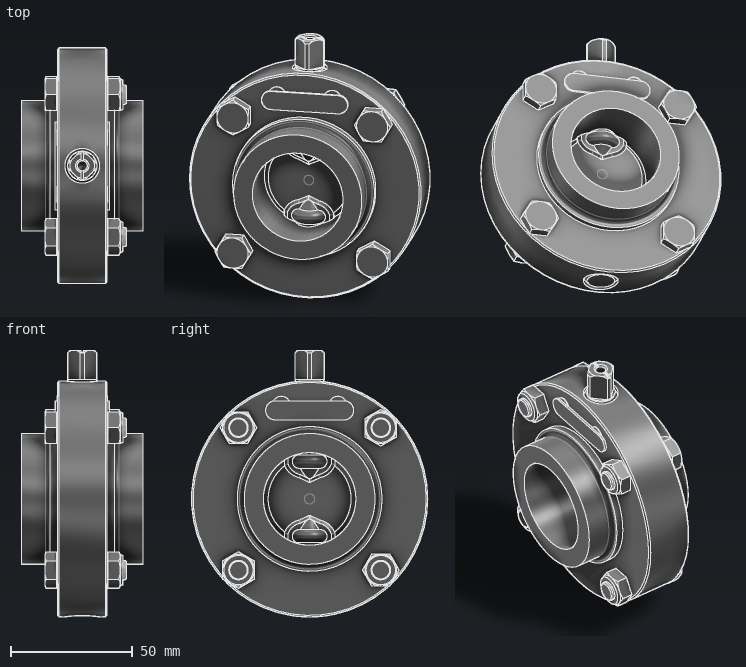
import cadquery as cq
import math

FLANGE_DIAMETER = 97.0
FLANGE_WIDTH = 20.3
FLANGE_CHAMFER = 0.7

OVERALL_LENGTH = 50.0
HUB_DIAMETER = 59.5
HUB_WIDTH = 26.3
PIPE_DIAMETER = 53.8
HUB_FILLET = 2.0
BORE_DIAMETER = 38.0

DISC_FACE_DIAMETER = 34.0
DISC_CENTER_DIAMETER = 4.2
DISC_CENTER_HALF = 2.2
DISC_FACE_HALF = 2.0
DISC_RIM_HALF = 0.3

JOURNAL_DIAMETER = 15.3
JOURNAL_INNER_Z = 12.5
JOURNAL_OUTER_Z = 18.3
JOURNAL_CORE_DIAMETER = 12.0
WALL_OVERLAP = 1.1
SKIRT_TIP_Z = 6.5
SKIRT_SHOULDER = (4.4, 8.5)
SKIRT_ARC_MIDDLE = (8.2, 10.6)
SKIRT_SIDE = (10.4, 14.1)
SKIRT_HEIGHT = 0.9
SKIRT_TAPER = 60

OVERALL_HEIGHT = 109.5
STEM_TOP_Z = OVERALL_HEIGHT - FLANGE_DIAMETER / 2
STEM_DIAMETER = 12.0
STEM_SQUARE = 9.6
STEM_CHAMFER = 1.0
STEM_FOOT_Z = 49.0
STEM_HOLE_DIAMETER = 4.2
STEM_HOLE_MOUTH = 5.5
STEM_HOLE_DEPTH = 6.6
DRILL_POINT_ANGLE = 118
STEM_SLOT_WIDTH = 1.0
STEM_SLOT_DEPTH = 0.7

SHAFT_DIAMETER = 14.2
SHAFT_END_DIAMETER = 11.4
SHAFT_END_Z = 48.1
SHAFT_EDGE_Z = 46.4
SHAFT_BASE_Z = 28.5

BOLT_OFFSET = 29.2
HEX_FLATS = 13.0
HEX_CHAMFER_ANGLE = 30
SEAT_DIAMETER = 11.4
SEAT_HEIGHT = 0.4
HEAD_HEIGHT = 4.8
NUT_HEIGHT = 5.0
COLLAR_DIAMETER = 12.0
COLLAR_HEIGHT = 1.1
BOLT_DIAMETER = 8.0
BOLT_END_DIAMETER = 7.2
BOLT_END_X = 18.2
BOLT_END_CHAMFER = 0.7

PLATE_LENGTH = 36.1
PLATE_HEIGHT = 7.9
PLATE_THICKNESS = 1.0
PLATE_Z = 36.4
RIVET_DIAMETER = 7.2
RIVET_HEIGHT = 0.2
RIVET_Y = 11.6
RIVET_Z = 38.5

HALF_WIDTH = FLANGE_WIDTH / 2


def x_cylinder(diameter, start, end):
    """Cylinder along X between two positions."""
    return cq.Workplane("YZ", origin=(start, 0, 0)).circle(diameter / 2).extrude(end - start)


def z_cylinder(diameter, start, end):
    """Cylinder along Z between two heights."""
    return cq.Workplane("XY", origin=(0, 0, start)).circle(diameter / 2).extrude(end - start)


def x_cone(start_diameter, end_diameter, start, end):
    """Truncated cone along X between two positions."""
    start_radius, end_radius = start_diameter / 2, end_diameter / 2
    outline = [(start, 0), (start, start_radius), (end, end_radius), (end, 0)]
    return cq.Workplane("XY").polyline(outline).close().revolve(360, (0, 0, 0), (1, 0, 0))


def both_sides(shape):
    """The shape together with its mirror image across the middle of the flange."""
    return shape.union(shape.mirror("YZ"))


def body():
    flange = x_cylinder(FLANGE_DIAMETER, -HALF_WIDTH, HALF_WIDTH).edges().chamfer(FLANGE_CHAMFER)
    hub_x = HUB_WIDTH / 2
    hub_radius, pipe_radius = HUB_DIAMETER / 2, PIPE_DIAMETER / 2
    end_x = OVERALL_LENGTH / 2
    arc_drop = HUB_FILLET * (1 - math.sqrt(0.5))
    half_hub = (
        cq.Workplane("XY")
        .moveTo(0, 0)
        .lineTo(0, hub_radius)
        .lineTo(hub_x, hub_radius)
        .lineTo(hub_x, pipe_radius + HUB_FILLET)
        .threePointArc((hub_x + arc_drop, pipe_radius + arc_drop), (hub_x + HUB_FILLET, pipe_radius))
        .lineTo(end_x, pipe_radius)
        .lineTo(end_x, 0)
        .close()
        .revolve(360, (0, 0, 0), (1, 0, 0))
    )
    bore = x_cylinder(BORE_DIAMETER, -end_x, end_x)
    return flange.union(both_sides(half_hub)).cut(bore)


def disc():
    """Slightly conical disc whose edge slopes down to the wall of the bore."""
    face_radius, bore_radius = DISC_FACE_DIAMETER / 2, BORE_DIAMETER / 2
    half = (
        cq.Workplane("XY")
        .moveTo(0, 0)
        .lineTo(DISC_CENTER_HALF, 0)
        .lineTo(DISC_CENTER_HALF, DISC_CENTER_DIAMETER / 2)
        .lineTo(DISC_FACE_HALF, face_radius)
        .lineTo(DISC_RIM_HALF, bore_radius)
        .lineTo(0, bore_radius)
        .close()
        .revolve(360, (0, 0, 0), (1, 0, 0))
    )
    return both_sides(half)


def skirt_outline(x, top_z):
    """Outline of a skirt at one position along X: a pointed arch with its tip toward the bore axis."""
    shoulder_y, shoulder_z = SKIRT_SHOULDER
    middle_y, middle_z = SKIRT_ARC_MIDDLE
    side_y, side_z = SKIRT_SIDE
    return (
        cq.Workplane("YZ", origin=(x, 0, 0))
        .moveTo(0, SKIRT_TIP_Z)
        .lineTo(shoulder_y, shoulder_z)
        .threePointArc((middle_y, middle_z), (side_y, side_z))
        .lineTo(side_y, top_z)
        .lineTo(-side_y, top_z)
        .lineTo(-side_y, side_z)
        .threePointArc((-middle_y, middle_z), (-shoulder_y, shoulder_z))
        .close()
    )


def upper_journal():
    """Barrel-shaped journal with a pointed root, and skirts that blend it into both disc faces."""
    wall_z = BORE_DIAMETER / 2 + WALL_OVERLAP
    radius = JOURNAL_DIAMETER / 2
    middle_z = (JOURNAL_INNER_Z + JOURNAL_OUTER_Z) / 2
    rim_radius = radius - (middle_z - JOURNAL_INNER_Z)
    barrel = (
        cq.Workplane("XZ")
        .moveTo(0, SKIRT_TIP_Z)
        .lineTo(DISC_FACE_HALF, SKIRT_TIP_Z)
        .lineTo(rim_radius, JOURNAL_INNER_Z)
        .threePointArc((radius, middle_z), (rim_radius, JOURNAL_OUTER_Z))
        .lineTo(0, JOURNAL_OUTER_Z)
        .close()
        .revolve(360, (0, 0, 0), (0, 1, 0))
    )
    core = z_cylinder(JOURNAL_CORE_DIAMETER, middle_z, wall_z)
    skirt = skirt_outline(0, wall_z).extrude(DISC_FACE_HALF)
    skirt = skirt.union(skirt_outline(DISC_FACE_HALF, wall_z).extrude(SKIRT_HEIGHT, taper=SKIRT_TAPER))
    skirt = skirt.intersect(x_cylinder(BORE_DIAMETER + WALL_OVERLAP, 0, JOURNAL_DIAMETER))
    return core.union(barrel).union(both_sides(skirt))


def stem():
    square_length = STEM_TOP_Z - STEM_FOOT_Z
    square = (
        cq.Workplane("XY", origin=(0, 0, STEM_FOOT_Z))
        .transformed(rotate=(0, 0, 45))
        .rect(STEM_SQUARE, STEM_SQUARE)
        .extrude(square_length)
    )
    envelope = z_cylinder(STEM_DIAMETER, STEM_FOOT_Z, STEM_TOP_Z).faces(">Z").chamfer(STEM_CHAMFER)
    neck_outline = [
        (0, SHAFT_END_Z),
        (SHAFT_END_DIAMETER / 2, SHAFT_END_Z),
        (STEM_DIAMETER / 2, STEM_FOOT_Z),
        (0, STEM_FOOT_Z),
    ]
    neck = cq.Workplane("XZ").polyline(neck_outline).close().revolve(360, (0, 0, 0), (0, 1, 0))
    hole_radius, mouth_radius = STEM_HOLE_DIAMETER / 2, STEM_HOLE_MOUTH / 2
    hole_bottom = STEM_TOP_Z - STEM_HOLE_DEPTH
    point_depth = hole_radius / math.tan(math.radians(DRILL_POINT_ANGLE / 2))
    hole = (
        cq.Workplane("XZ")
        .moveTo(0, STEM_TOP_Z)
        .lineTo(mouth_radius, STEM_TOP_Z)
        .lineTo(hole_radius, STEM_TOP_Z - (mouth_radius - hole_radius))
        .lineTo(hole_radius, hole_bottom)
        .lineTo(0, hole_bottom - point_depth)
        .close()
        .revolve(360, (0, 0, 0), (0, 1, 0))
    )
    slot = cq.Workplane("XY").box(STEM_SLOT_WIDTH, STEM_DIAMETER, 2 * STEM_SLOT_DEPTH)
    return square.intersect(envelope).union(neck).cut(hole).cut(slot.translate((0, 0, STEM_TOP_Z)))


def shaft_end():
    """Chamfered end of the shaft, standing in its bore just below the rim of the flange."""
    edge_radius, end_radius = SHAFT_DIAMETER / 2, SHAFT_END_DIAMETER / 2
    outline = [
        (0, SHAFT_BASE_Z),
        (edge_radius, SHAFT_BASE_Z),
        (edge_radius, SHAFT_EDGE_Z),
        (end_radius, SHAFT_END_Z),
        (0, SHAFT_END_Z),
    ]
    return cq.Workplane("XZ").polyline(outline).close().revolve(360, (0, 0, 0), (0, 1, 0))


def hexagon(start, end, turn):
    """Hexagonal prism along X whose corners are chamfered at its end position."""
    across_corners = HEX_FLATS / math.cos(math.radians(30))
    prism = (
        cq.Workplane("YZ", origin=(start, 0, 0))
        .transformed(rotate=(0, 0, turn))
        .polygon(6, across_corners)
        .extrude(end - start)
    )
    direction = math.copysign(1, end - start)
    drop = (across_corners - HEX_FLATS) / 2 * math.tan(math.radians(HEX_CHAMFER_ANGLE))
    shoulder = end - direction * drop
    envelope = x_cylinder(across_corners, start, shoulder).union(
        x_cone(across_corners, HEX_FLATS, shoulder, end)
    )
    return prism.intersect(envelope)


def fastener(turn):
    """Bolt along X with its head on the -X side and its nut on the +X side."""
    seat_x = HALF_WIDTH + SEAT_HEIGHT
    nut_x = seat_x + NUT_HEIGHT
    collar_x = nut_x + COLLAR_HEIGHT
    tip_x = BOLT_END_X - BOLT_END_CHAMFER
    return (
        x_cylinder(SEAT_DIAMETER, -seat_x, seat_x)
        .union(hexagon(-seat_x, -seat_x - HEAD_HEIGHT, turn))
        .union(hexagon(seat_x, nut_x, turn))
        .union(x_cone(HEX_FLATS, COLLAR_DIAMETER, nut_x, collar_x))
        .union(x_cylinder(BOLT_DIAMETER, 0, tip_x))
        .union(x_cone(BOLT_DIAMETER, BOLT_END_DIAMETER, tip_x, BOLT_END_X))
    )


def name_plate():
    face = cq.Workplane("YZ", origin=(HALF_WIDTH, 0, 0))
    plate = face.center(0, PLATE_Z).slot2D(PLATE_LENGTH, PLATE_HEIGHT).extrude(PLATE_THICKNESS)
    rivets = (
        face.pushPoints([(-RIVET_Y, RIVET_Z), (RIVET_Y, RIVET_Z)])
        .circle(RIVET_DIAMETER / 2)
        .extrude(RIVET_HEIGHT)
    )
    return plate.union(rivets)


result = body().union(disc())

journal = upper_journal()
shaft_bore = z_cylinder(SHAFT_DIAMETER, SHAFT_BASE_Z, FLANGE_DIAMETER / 2)
end = shaft_end()
for half_turn in (0, 180):
    axis = ((0, 0, 0), (1, 0, 0), half_turn)
    result = result.union(journal.rotate(*axis))
    result = result.cut(shaft_bore.rotate(*axis)).union(end.rotate(*axis))

result = result.union(stem())
result = result.union(both_sides(name_plate()))

for y_side in (-1, 1):
    for z_side in (-1, 1):
        hex_turn = 0 if y_side != z_side else 90
        bolt = fastener(hex_turn)
        result = result.union(bolt.translate((0, y_side * BOLT_OFFSET, z_side * BOLT_OFFSET)))